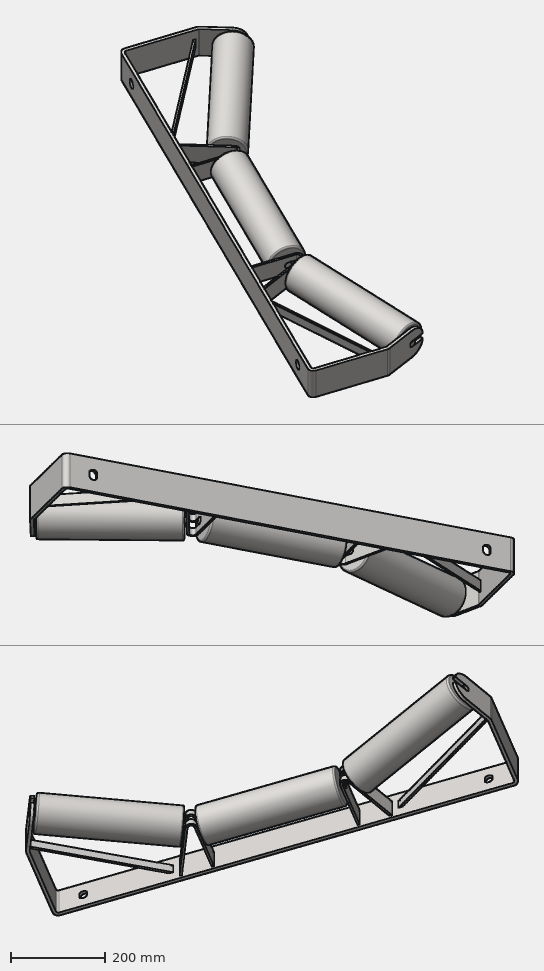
import cadquery as cq
import math

frame_width = 1050
strip_height = 80
strip_thickness = 8
strip_bend_radius = 13
arm_tip_y = 280
arm_corner_radius = 35

mount_slot_x = 457.5
mount_slot_width = 18
mount_slot_height = 24

roller_diameter = 89
roller_length = 315
roller_edge_radius = 4
shaft_diameter = 16
roller_gap = 324
trough_angle = 25
forward_tilt = 1.1
side_roller_x = 339
side_roller_y = 178.3
side_roller_z = 36.2
middle_roller_y = 100.5
middle_roller_z = 32.5

bracket_thickness = 5
bracket_height = 50
bracket_bend_radius = 12.5

strut_thickness = 5
strut_height = 25
strut_top_y = 173
strut_foot_x = 254

half_width = frame_width / 2
cos_trough = math.cos(math.radians(trough_angle))
sin_trough = math.sin(math.radians(trough_angle))
tan_trough = math.tan(math.radians(trough_angle))
tan_half_trough = math.tan(math.radians(trough_angle / 2))

side_roller_reach = side_roller_x * cos_trough + side_roller_y * sin_trough


def place_side(shape):
    """Move a shape made along X at the origin to the right outer roller's place."""
    tilted = shape.rotate((0, 0, 0), (0, 1, 0), -forward_tilt)
    swung = tilted.rotate((0, 0, 0), (0, 0, 1), trough_angle)
    return swung.translate((side_roller_x, side_roller_y, side_roller_z))


def place_middle(shape):
    """Move a shape made along X at the origin to the middle roller's place."""
    return shape.translate((0, middle_roller_y, middle_roller_z))


def mirror_to_left(shape):
    return shape.mirror("YZ")


def extrude_centred(outline, height, middle_z):
    """Extrude a plan outline along Z, half of its height to either side of a level."""
    base = cq.Workplane("XY").workplane(offset=middle_z - height / 2)
    return base.polyline(outline).close().extrude(height)


def round_edge(plate, point, radius):
    """Round the straight edge whose middle lies nearest to a point."""
    return plate.edges("%LINE").edges(cq.selectors.NearestToPointSelector(point)).fillet(radius)


def make_rod(diameter, start_x, end_x):
    """Round rod lying along X between two positions."""
    return cq.Workplane("YZ").workplane(offset=start_x).circle(diameter / 2).extrude(end_x - start_x)


def make_roller(left_plate, right_plate):
    """Roller along X, its shaft ending flush with the plates of given thickness at both ends."""
    drum = make_rod(roller_diameter, -roller_length / 2, roller_length / 2)
    drum = drum.edges("%CIRCLE").fillet(roller_edge_radius)
    shaft = make_rod(shaft_diameter, -roller_gap / 2 - left_plate, roller_gap / 2 + right_plate)
    return drum.union(shaft)


def make_shaft_slots():
    """Cutter for the slots, open toward +Y, in which a roller's shaft ends rest."""
    slot_run = roller_diameter
    cutter_length = roller_gap + 4 * strip_thickness
    seat = make_rod(shaft_diameter, -cutter_length / 2, cutter_length / 2)
    mouth = cq.Workplane("XY").box(cutter_length, slot_run, shaft_diameter)
    return seat.union(mouth.translate((0, slot_run / 2, 0)))


def make_strip_half():
    """Right half of the base strip: base, upright side and inclined arm."""
    outer_reach = side_roller_reach + roller_gap / 2 + strip_thickness
    bend_y = (outer_reach - half_width * cos_trough) / sin_trough
    inner_x = half_width - strip_thickness
    inner_bend_y = bend_y - strip_thickness * tan_half_trough
    tip_x = half_width - (arm_tip_y - bend_y) * tan_trough
    inner_tip_x = tip_x - strip_thickness * cos_trough
    inner_tip_y = arm_tip_y - strip_thickness * sin_trough
    outline = [
        (0, 0),
        (half_width, 0),
        (half_width, bend_y),
        (tip_x, arm_tip_y),
        (inner_tip_x, inner_tip_y),
        (inner_x, inner_bend_y),
        (inner_x, strip_thickness),
        (0, strip_thickness),
    ]
    middle_z = strip_height / 2
    strip = extrude_centred(outline, strip_height, middle_z)

    inner_radius = strip_bend_radius - strip_thickness
    strip = round_edge(strip, (half_width, 0, middle_z), strip_bend_radius)
    strip = round_edge(strip, (inner_x, strip_thickness, middle_z), inner_radius)
    strip = round_edge(strip, (half_width, bend_y, middle_z), strip_bend_radius)
    strip = round_edge(strip, (inner_x, inner_bend_y, middle_z), inner_radius)

    tip_middle_x = (tip_x + inner_tip_x) / 2
    tip_middle_y = (arm_tip_y + inner_tip_y) / 2
    for z in (0, strip_height):
        strip = round_edge(strip, (tip_middle_x, tip_middle_y, z), arm_corner_radius)

    mount_slot = (
        cq.Workplane("XZ")
        .center(mount_slot_x, middle_z)
        .slot2D(mount_slot_height, mount_slot_width, 90)
        .extrude(-strip_thickness)
    )
    return strip.cut(mount_slot)


def make_bracket():
    """Right inner bracket: an upright leg and an inclined leg joined by a rounded fold."""
    upright_x = roller_gap / 2
    inner_upright_x = upright_x + bracket_thickness
    outer_reach = side_roller_reach - roller_gap / 2
    inner_reach = outer_reach - bracket_thickness

    def inclined_x(reach, y):
        return (reach - y * sin_trough) / cos_trough

    def fold_y(reach, x):
        return (reach - x * cos_trough) / sin_trough

    fold = (upright_x, fold_y(outer_reach, upright_x))
    inner_fold = (inner_upright_x, fold_y(inner_reach, inner_upright_x))
    foot_y = strip_thickness
    outline = [
        (upright_x, foot_y),
        fold,
        (inclined_x(outer_reach, foot_y), foot_y),
        (inclined_x(inner_reach, foot_y), foot_y),
        inner_fold,
        (inner_upright_x, foot_y),
    ]
    bracket = extrude_centred(outline, bracket_height, middle_roller_z)
    bracket = round_edge(bracket, (*fold, middle_roller_z), bracket_bend_radius)
    inner_radius = bracket_bend_radius - bracket_thickness
    return round_edge(bracket, (*inner_fold, middle_roller_z), inner_radius)


def make_strut():
    """Right strut, running from the upright side of the strip to its base."""
    top_x = half_width - strip_thickness
    slope = math.atan2(strut_top_y - strip_thickness, top_x - strut_foot_x)
    end_height = strut_thickness / math.cos(slope)
    lower_foot_x = strut_foot_x + end_height / math.tan(slope)
    outline = [
        (top_x, strut_top_y),
        (strut_foot_x, strip_thickness),
        (lower_foot_x, strip_thickness),
        (top_x, strut_top_y - end_height),
    ]
    return extrude_centred(outline, strut_height, strip_height / 2)


frame_half = make_strip_half().union(make_bracket()).union(make_strut())
frame = frame_half.union(mirror_to_left(frame_half)).clean()
side_slots = place_side(make_shaft_slots())
for slots in (side_slots, mirror_to_left(side_slots), place_middle(make_shaft_slots())):
    frame = frame.cut(slots)

side_roller = place_side(make_roller(bracket_thickness, strip_thickness))
middle_roller = place_middle(make_roller(bracket_thickness, bracket_thickness))
rollers = [mirror_to_left(side_roller), middle_roller, side_roller]

result = cq.Compound.makeCompound([frame.val(), *(roller.val() for roller in rollers)])